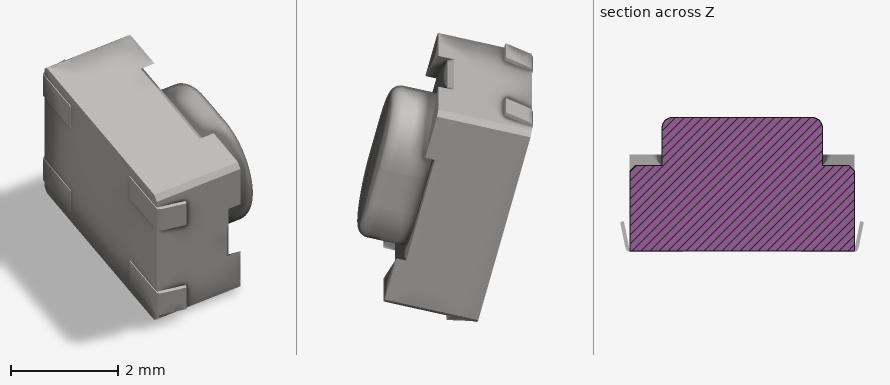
import cadquery as cq
import math

body_length = 4.2
body_height = 3.2
body_depth = 1.8
corner_chamfer = 0.1

recess_depth = 0.2
opening_length = 2.2
opening_height = 1.2
floor_bevel = 0.1

button_length = 3.0
button_height = 2.2
button_rise = 0.7
button_edge_radius = 0.2
button_root = 0.1

terminal_width = 0.55
terminal_offset = 1.075
terminal_span = 4.546
foot_thickness = 0.05
foot_proud = 0.016
foot_inner_end = 1.1
arm_thickness = 0.07
arm_tilt = math.radians(11.3)
bend_height = 0.11

floor_level = body_depth - recess_depth
opening_level = floor_level - floor_bevel


def make_body():
    block = cq.Workplane("XY").box(body_length, body_depth, body_height)
    block = block.translate((0, body_depth / 2, 0))
    return block.edges("|Y").chamfer(corner_chamfer)


def make_recess():
    """Octagonal space between the corner posts, above a floor bevelled along the walls."""
    wall_x = body_length / 2
    wall_z = body_height / 2
    open_x = opening_length / 2
    open_z = opening_height / 2
    octagon = [
        (open_x, wall_z),
        (wall_x, open_z),
        (wall_x, -open_z),
        (open_x, -wall_z),
        (-open_x, -wall_z),
        (-wall_x, -open_z),
        (-wall_x, open_z),
        (-open_x, wall_z),
    ]
    base_plane = cq.Workplane("XZ", origin=(0, opening_level, 0))
    space = base_plane.polyline(octagon).close().extrude(opening_level - body_depth)
    bevelled_floor = (
        base_plane.rect(body_length, body_height)
        .workplane(offset=-floor_bevel)
        .rect(body_length - 2 * floor_bevel, body_height - 2 * floor_bevel)
        .loft(ruled=True)
    )
    return space.cut(bevelled_floor)


def make_button():
    """Button rooted below the recess floor so that it joins the body."""
    return (
        cq.Workplane("XZ", origin=(0, floor_level - button_root, 0))
        .slot2D(button_length, button_height)
        .extrude(-(button_root + recess_depth + button_rise))
        .faces(">Y")
        .edges()
        .fillet(button_edge_radius)
    )


def make_terminal():
    """Terminal toward +X: a foot let into the back face and an arm leaning outward."""
    corner_x = body_length / 2
    foot_back = -foot_proud
    foot_front = foot_back + foot_thickness
    sine = math.sin(arm_tilt)
    cosine = math.cos(arm_tilt)
    tip_x = terminal_span / 2
    inner_tip_x = tip_x - arm_thickness * cosine
    inner_tip_y = foot_front + (inner_tip_x - corner_x) / math.tan(arm_tilt)
    tip_y = inner_tip_y - arm_thickness * sine

    def outer_face_point(y):
        return (tip_x - (tip_y - y) * math.tan(arm_tilt), y)

    bend_start = (corner_x, foot_back)
    bend_corner = outer_face_point(foot_back)
    bend_end = outer_face_point(bend_height)
    profile = (
        cq.Workplane("XY", origin=(0, 0, -terminal_width / 2))
        .moveTo(foot_inner_end, foot_front)
        .lineTo(foot_inner_end, foot_back)
        .lineTo(*bend_start)
        .bezier([bend_start, bend_corner, bend_end])
        .lineTo(tip_x, tip_y)
        .lineTo(inner_tip_x, inner_tip_y)
        .lineTo(corner_x, foot_front)
        .close()
    )
    return profile.extrude(terminal_width)


def add_terminals(part):
    terminal = make_terminal()
    for turn in (0, 180):
        for height in (-terminal_offset, terminal_offset):
            placed = terminal.rotate((0, 0, 0), (0, 1, 0), turn).translate((0, 0, height))
            part = part.union(placed)
    return part


housing = make_body().cut(make_recess()).union(make_button())
result = add_terminals(housing)